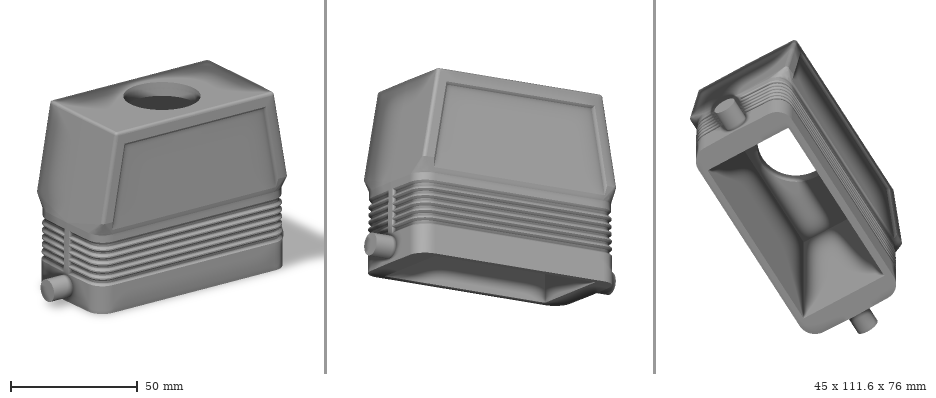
import cadquery as cq

total_height = 76.0
rim_top = 11.7
ridge_zone_top = 29.9
collar_top = 33.1
flare_top = 38.9

body_half_width = 21.5
body_half_length = 46.8
body_corner_radius = 6.9
body_bow = 0.5
collar_half_width = 21.1
collar_half_length = 46.5

ridge_count = 5
ridge_pitch = 3.0
ridge_depth = 1.06
ridge_tip_height = 0.6
ridge_base_height = 2.3
collar_bevel = 1.0

rib_half_width = 1.6
rib_root_half_width = 2.6
rib_root_depth = 2.2

hood_width = 45.0
hood_half_width = hood_width / 2
hood_top_half_length = 38.8
hood_bow = 0.2
hood_edge_radius = 1.3
hood_top_edge_radius = 1.2

recess_depth = 0.9
recess_bevel = 1.0
recess_top = 70.7
recess_top_half_length = 34.6

pin_radius = 4.6
pin_height = 6.4
pin_tip = 55.8
entry_diameter = 30.5
cavity_half_width = 18.4
cavity_half_length = 37.4
roof = 5.8

end_slope = (collar_half_length - hood_top_half_length) / (total_height - collar_top)


def plan_outline(half_width, half_length, bow, radius):
    """Rectangle with slightly pointed ends and rounded corners."""
    side = half_length - bow
    points = [
        (half_width, -side),
        (half_width, side),
        (0, half_length),
        (-half_width, side),
        (-half_width, -side),
        (0, -half_length),
        (half_width, -side),
    ]
    sketch = cq.Sketch().polygon(points)
    return sketch.vertices("<X or >X").fillet(radius)


def stack(sections):
    """Straight-sided solid through (height, outline) sections, lowest first."""
    outlines = [outline.moved(cq.Location(cq.Vector(0, 0, z))) for z, outline in sections]
    return cq.Workplane("XY").placeSketch(*outlines).loft(ruled=True)


def hood_half_length(z):
    return hood_top_half_length + end_slope * (total_height - z)


def ridge_half_length(z):
    """The ridge tips draft from the rim in to the collar."""
    draft = (body_half_length - collar_half_length) / (ridge_zone_top - rim_top)
    return body_half_length - draft * (z - rim_top)


def ridge_section(z, inset):
    outline = plan_outline(
        body_half_width - inset,
        ridge_half_length(z) - inset,
        body_bow,
        body_corner_radius - inset,
    )
    return z, outline


rim_outline = plan_outline(body_half_width, body_half_length, body_bow, body_corner_radius)
collar_outline = plan_outline(collar_half_width, collar_half_length, body_bow, body_corner_radius)
rim = cq.Workplane("XY").placeSketch(rim_outline).extrude(rim_top)
collar = (
    cq.Workplane("XY", origin=(0, 0, ridge_zone_top))
    .placeSketch(collar_outline)
    .extrude(collar_top - ridge_zone_top)
)


def make_ridges():
    half_tip = ridge_tip_height / 2
    half_base = ridge_base_height / 2
    sections = [
        ridge_section(rim_top, 0),
        ridge_section(rim_top + half_base - half_tip, ridge_depth),
    ]
    for index in range(1, ridge_count + 1):
        middle = rim_top + index * ridge_pitch
        sections += [
            ridge_section(middle - half_base, ridge_depth),
            ridge_section(middle - half_tip, 0),
            ridge_section(middle + half_tip, 0),
            ridge_section(middle + half_base, ridge_depth),
        ]
    sections += [
        ridge_section(ridge_zone_top - collar_bevel, ridge_depth),
        (ridge_zone_top, collar_outline),
    ]
    return stack(sections)


def make_rib():
    def rib_outline(z):
        face = ridge_half_length(z)
        edge = face - body_bow * rib_half_width / body_half_width
        return cq.Sketch().polygon([
            (-rib_half_width, edge),
            (0, face),
            (rib_half_width, edge),
            (rib_root_half_width, face - ridge_depth),
            (rib_root_half_width, face - rib_root_depth),
            (-rib_root_half_width, face - rib_root_depth),
            (-rib_root_half_width, face - ridge_depth),
            (-rib_half_width, edge),
        ])

    return stack([(z, rib_outline(z)) for z in (rim_top, ridge_zone_top)])


def make_hood():
    lower, upper = [
        plan_outline(hood_half_width, hood_half_length(z), hood_bow, hood_edge_radius)
        for z in (collar_top, total_height)
    ]
    hood = stack([(collar_top, lower), (total_height, upper)])
    hood = hood.faces(">Z").edges().fillet(hood_top_edge_radius)

    corner_half_length = hood_half_length(flare_top) - hood_bow
    flare_bow = body_bow * hood_half_width / collar_half_width
    flare_half_length = corner_half_length + flare_bow
    flare_outline = plan_outline(hood_half_width, flare_half_length, flare_bow, hood_edge_radius)
    flare = stack([(collar_top, collar_outline), (flare_top, flare_outline)])
    shaving = (
        cq.Workplane("XY", origin=(0, 0, collar_top))
        .rect(2 * hood_width, 4 * body_half_length)
        .extrude(flare_top - collar_top)
        .cut(flare)
    )
    return hood.cut(shaving)


def make_recess():
    def recess_outline(inset):
        top = recess_top - inset
        top_half = recess_top_half_length - inset
        bottom_half = top_half + end_slope * (top - collar_top)
        return cq.Sketch().polygon([
            (-bottom_half, collar_top),
            (bottom_half, collar_top),
            (top_half, top),
            (-top_half, top),
            (-bottom_half, collar_top),
        ])

    floor = recess_outline(recess_bevel)
    mouth = recess_outline(0).moved(cq.Location(cq.Vector(0, 0, recess_depth)))
    plane_start = (hood_half_width - recess_depth, 0, 0)
    return cq.Workplane("YZ", origin=plane_start).placeSketch(floor, mouth).loft(ruled=True)


pins = (
    cq.Workplane("XZ", origin=(0, pin_tip, pin_height))
    .circle(pin_radius)
    .extrude(2 * pin_tip)
)
cavity = (
    cq.Workplane("XY")
    .rect(2 * cavity_half_width, 2 * cavity_half_length)
    .extrude(total_height - roof)
)
entry = cq.Workplane("XY").circle(entry_diameter / 2).extrude(total_height)
rib = make_rib()
recess = make_recess()

result = (
    rim.union(make_ridges())
    .union(collar)
    .union(rib)
    .union(rib.mirror("XZ"))
    .union(make_hood())
    .union(pins)
    .cut(recess)
    .cut(recess.mirror("YZ"))
    .cut(cavity)
    .cut(entry)
)